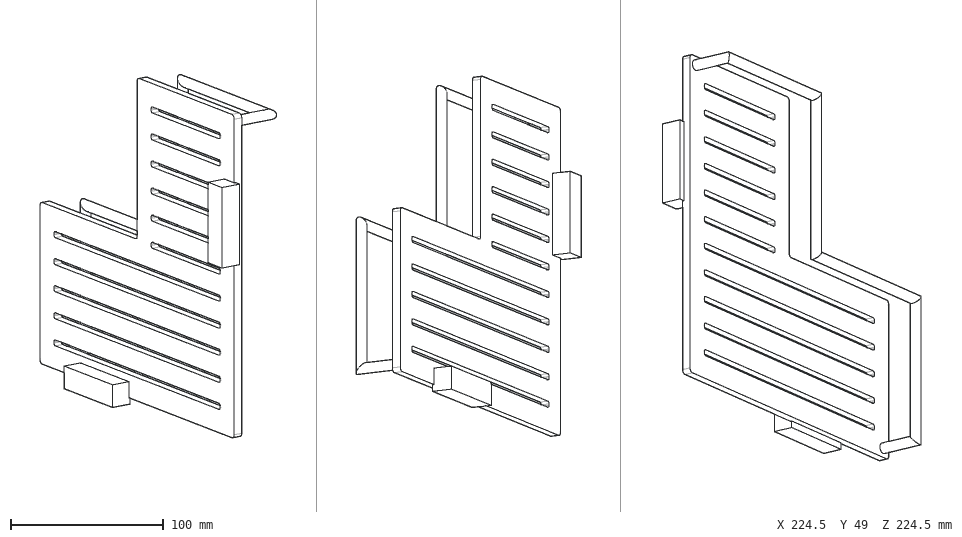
import cadquery as cq

overall_size = 224.5
block_overhang = 4.5
plate_size = overall_size - block_overhang
arm_width = plate_size / 2
plate_thickness = 6.0
outer_corner_radius = 2.7
inner_corner_radius = 2.0

slot_count = 11
slot_height = 4.0
slot_margin = 16.0
slot_corner_radius = 1.5
first_slot_height = slot_margin + slot_height / 2
slot_pitch = (plate_size - 2 * first_slot_height) / (slot_count - 1)

overall_depth = 49.0
rail_diameter = 7.2
rail_inset = 2.7
block_projection = 13.0
rail_back = overall_depth - block_projection

block_length = 54.8
block_width = 15.5
block_embed = 1.1
block_center = plate_size / 3


def front_plane(y):
    """Workplane parallel to the plate whose local axes are X and Z; its normal is -Y."""
    return cq.Workplane(cq.Plane(origin=(0, y, 0), xDir=(1, 0, 0), normal=(0, -1, 0)))


def make_plate():
    outline = [
        (0, 0),
        (plate_size, 0),
        (plate_size, plate_size),
        (arm_width, plate_size),
        (arm_width, arm_width),
        (0, arm_width),
    ]
    plate = front_plane(0).polyline(outline).close().extrude(-plate_thickness)
    inner_edge = cq.selectors.NearestToPointSelector((arm_width, plate_thickness / 2, arm_width))
    plate = plate.edges(inner_edge).fillet(inner_corner_radius)
    outer_edges = plate.edges("|Y").edges("<X or >X or >Z")
    return outer_edges.fillet(outer_corner_radius)


def make_slot(z):
    """Through slot centred at height z, running the full width of the plate there."""
    left = slot_margin
    if z > arm_width - slot_margin:
        left += arm_width
    right = plate_size - slot_margin
    slot = front_plane(0).center((left + right) / 2, z)
    slot = slot.rect(right - left, slot_height).extrude(-plate_thickness)
    return slot.edges("|Y").fillet(slot_corner_radius)


def make_rail():
    """Mitred round bar that leaves the plate, follows the stepped edge and returns."""
    edge_offset = rail_inset + rail_diameter / 2
    low = edge_offset
    high = plate_size - edge_offset
    arm_left = arm_width + edge_offset
    step_top = arm_width - edge_offset
    rail_y = rail_back - rail_diameter / 2
    foot_y = plate_thickness / 2
    path = cq.Workplane("XY").polyline([
        (low, foot_y, low),
        (low, rail_y, low),
        (low, rail_y, step_top),
        (arm_left, rail_y, step_top),
        (arm_left, rail_y, high),
        (high, rail_y, high),
        (high, foot_y, high),
    ])
    profile = front_plane(foot_y).center(low, low).circle(rail_diameter / 2)
    return profile.sweep(path, transition="right")


def make_block(x_center, z_center, x_size, z_size):
    block = front_plane(block_embed).center(x_center, z_center)
    return block.rect(x_size, z_size).extrude(block_embed + block_projection)


result = make_plate()
for index in range(slot_count):
    result = result.cut(make_slot(first_slot_height + index * slot_pitch))

result = result.union(make_rail())

across_bottom = block_width / 2 - block_overhang
across_right = plate_size - across_bottom
result = result.union(make_block(block_center, across_bottom, block_length, block_width))
result = result.union(make_block(across_right, plate_size - block_center, block_width, block_length))